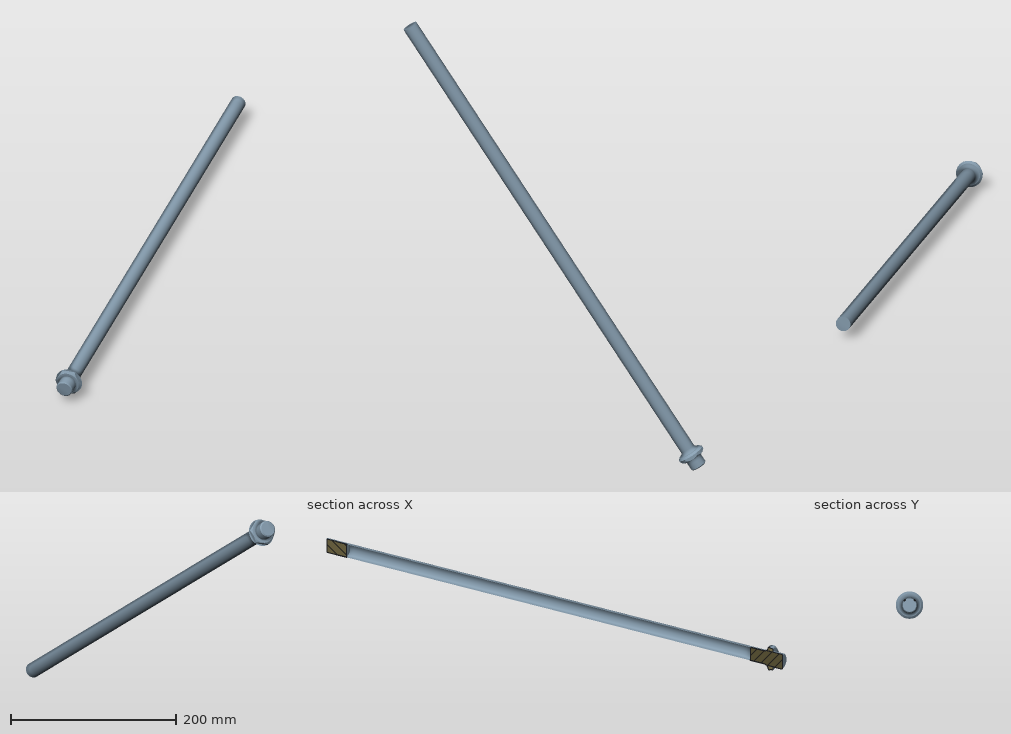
import cadquery as cq
import math

LENGTH = 652.5
FRONT_Y = -LENGTH / 2
BACK_Y = LENGTH / 2

TUBE_DIAMETER = 18.0
TUBE_BORE = 16.0
TUBE_RADIUS = TUBE_DIAMETER / 2
SPIGOT_RADIUS = TUBE_BORE / 2

CAP_HEAD_LENGTH = 14.0
CAP_SPIGOT_LENGTH = 15.0

STUB_LENGTH = 14.0
STUB_DIAMETER = 20.0
STUB_RADIUS = STUB_DIAMETER / 2
STUB_CHAMFER = 1.0
COLLAR_FILLET = 4.9
CONNECTOR_SPIGOT_LENGTH = 20.0

NUT_ACROSS_CORNERS = 33.0
NUT_THICKNESS = 8.0
NUT_BEVEL = 2.5

NUT_FRONT_Y = FRONT_Y + STUB_LENGTH
NUT_BACK_Y = NUT_FRONT_Y + NUT_THICKNESS
TUBE_FRONT_Y = NUT_BACK_Y + COLLAR_FILLET
TUBE_BACK_Y = BACK_Y - CAP_HEAD_LENGTH


def revolve_about_y(profile):
    """Turn a closed half profile in the XY plane about the Y axis."""
    return profile.close().revolve(360, (0, 0, 0), (0, 1, 0))


def cylinder_along_y(radius, start_y, end_y):
    """Solid round bar on the Y axis between two stations."""
    plane = cq.Workplane("XZ", origin=(0, start_y, 0))
    return plane.circle(radius).extrude(start_y - end_y)


def make_tube():
    """Long round tube, open at both ends."""
    outside = cylinder_along_y(TUBE_RADIUS, TUBE_FRONT_Y, TUBE_BACK_Y)
    bore = cylinder_along_y(SPIGOT_RADIUS, TUBE_FRONT_Y, TUBE_BACK_Y)
    return outside.cut(bore)


def make_cap():
    """Plug with a head flush with the tube and a spigot inside it."""
    head = cylinder_along_y(TUBE_RADIUS, TUBE_BACK_Y, BACK_Y)
    spigot = cylinder_along_y(SPIGOT_RADIUS, TUBE_BACK_Y - CAP_SPIGOT_LENGTH, TUBE_BACK_Y)
    return head.union(spigot)


def make_connector():
    """Turned stub with a chamfered tip, a concave collar behind the nut and a spigot in the tube."""
    collar_radius = TUBE_RADIUS + COLLAR_FILLET
    spigot_end_y = TUBE_FRONT_Y + CONNECTOR_SPIGOT_LENGTH
    arc_inset = COLLAR_FILLET * math.sqrt(0.5)
    profile = (
        cq.Workplane("XY")
        .moveTo(0, FRONT_Y)
        .lineTo(STUB_RADIUS - STUB_CHAMFER, FRONT_Y)
        .lineTo(STUB_RADIUS, FRONT_Y + STUB_CHAMFER)
        .lineTo(STUB_RADIUS, NUT_BACK_Y)
        .lineTo(collar_radius, NUT_BACK_Y)
        .threePointArc(
            (collar_radius - arc_inset, TUBE_FRONT_Y - arc_inset),
            (TUBE_RADIUS, TUBE_FRONT_Y),
        )
        .lineTo(SPIGOT_RADIUS, TUBE_FRONT_Y)
        .lineTo(SPIGOT_RADIUS, spigot_end_y)
        .lineTo(0, spigot_end_y)
    )
    return revolve_about_y(profile)


def make_nut():
    """Hexagonal nut with corners on X, a chamfered front and a conical flange at the back."""
    corner_radius = NUT_ACROSS_CORNERS / 2
    face_radius = corner_radius - NUT_BEVEL
    flange_rim_y = NUT_BACK_Y - NUT_BEVEL

    hexagon = (
        cq.Workplane("XZ", origin=(0, NUT_FRONT_Y, 0))
        .polygon(6, NUT_ACROSS_CORNERS)
        .extrude(NUT_FRONT_Y - flange_rim_y)
    )
    chamfer_envelope = revolve_about_y(
        cq.Workplane("XY")
        .moveTo(0, NUT_FRONT_Y)
        .lineTo(face_radius, NUT_FRONT_Y)
        .lineTo(corner_radius, NUT_FRONT_Y + NUT_BEVEL)
        .lineTo(corner_radius, flange_rim_y)
        .lineTo(0, flange_rim_y)
    )
    flange = revolve_about_y(
        cq.Workplane("XY")
        .moveTo(0, flange_rim_y)
        .lineTo(corner_radius, flange_rim_y)
        .lineTo(face_radius, NUT_BACK_Y)
        .lineTo(0, NUT_BACK_Y)
    )
    hole = cylinder_along_y(STUB_RADIUS, NUT_FRONT_Y, NUT_BACK_Y)
    return hexagon.intersect(chamfer_envelope).union(flange).cut(hole)


tube = make_tube()
cap = make_cap()
connector = make_connector()
nut = make_nut()

bodies = [tube, cap, connector, nut]
result = cq.Compound.makeCompound([body.solids().val() for body in bodies])